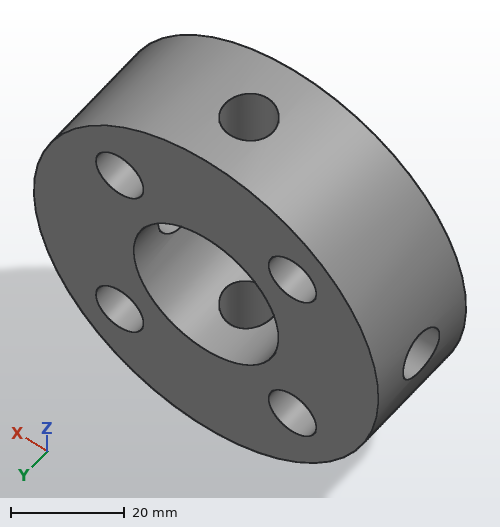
import cadquery as cq
import math

outer_diameter = 76.2
thickness = 25.4
bore_diameter = 32.0

axial_hole_diameter = 10.5
bolt_circle_diameter = 54.0
axial_hole_spacing = bolt_circle_diameter / math.sqrt(2)

cross_hole_diameter = 10.5
cross_hole_offset = 0.3


def cylinder_along(axis, diameter, length, center=(0, 0, 0)):
    """Cylinder parallel to an axis vector, centred on the given point."""
    direction = cq.Vector(*axis)
    start = cq.Vector(*center) - direction * (length / 2)
    return cq.Workplane(cq.Solid.makeCylinder(diameter / 2, length, start, direction))


def make_ring():
    body = cylinder_along((0, 1, 0), outer_diameter, thickness)
    bore = cylinder_along((0, 1, 0), bore_diameter, thickness)
    return body.cut(bore)


def cut_axial_holes(part):
    half_spacing = axial_hole_spacing / 2
    for x in (-half_spacing, half_spacing):
        for z in (-half_spacing, half_spacing):
            hole = cylinder_along((0, 1, 0), axial_hole_diameter, thickness, (x, 0, z))
            part = part.cut(hole)
    return part


def cut_cross_holes(part):
    for axis in ((1, 0, 0), (0, 0, 1)):
        hole = cylinder_along(axis, cross_hole_diameter, outer_diameter, (0, cross_hole_offset, 0))
        part = part.cut(hole)
    return part


result = cut_cross_holes(cut_axial_holes(make_ring()))